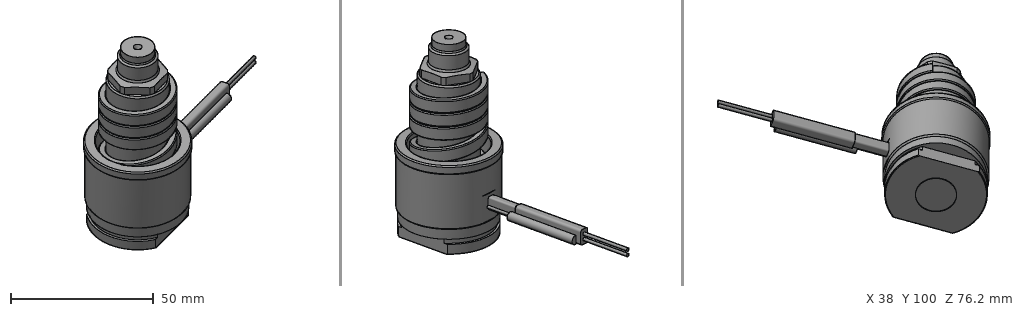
import cadquery as cq
import math

TOTAL_HEIGHT = 76.2

BOSS_RADIUS = 7.2
BOSS_HEIGHT = 0.3
BASE_RADIUS = 18.0
BASE_CHAMFER = 0.3
BASE_TOP = 4.3
NECK_RADIUS = 17.1
NECK_TOP = 6.3
BASE_FLAT_WIDTH = 28.1

CUP_RADIUS = 18.6
CUP_BOTTOM = 10.1
CUP_BOTTOM_CHAMFER = 0.6
CUP_TOP = 35.2
FLANGE_RADIUS = 19.0
FLANGE_BOTTOM = 32.2
FLANGE_CHAMFER = 0.5
CAVITY_RADIUS = 14.8
CAVITY_FLOOR = 10.6
MOUTH_CHAMFER = 0.4
CABLE_FLAT_DISTANCE = 18.3
CABLE_FLAT_TOP = 21.3

SHAFT_RADIUS = 11.1
SHAFT_TOP = 62.4
SHAFT_CHAMFER = 0.6
HEX_SIDES = 6
HEX_ACROSS_FLATS = 19.0
HEX_CORNER_RADIUS = 10.5
HEX_TOP = 65.5
HEX_CONE_RADIUS = 7.6
HEX_CONE_TOP = 66.05
STEM_RADIUS = 7.15
STEM_BOTTOM = 66.9
STEM_TOP = 72.4
STEP_RADIUS = 6.3
STEP_TOP = 72.9
TIP_RADIUS = 6.0
TIP_BOTTOM = 73.5
CENTRE_HOLE_RADIUS = 1.5
CENTRE_HOLE_DEPTH = 2.6

SPRING_RADIUS = 13.8
SPRING_OVERLAP = 0.2
SPRING_HEIGHT = 5.0
SPRING_CHAMFER = 0.4
CLOSE_PITCH = 5.3
OPEN_PITCH = 15.5
CLOSE_FULL_TURNS = 3
OPEN_TURNS = 2
JOINT_ANGLE = 142.0
JOINT_HEIGHT = 41.3
SPRING_END_ANGLE = 156.0

CABLE_START = 16.0
CABLE_X = -1.3
CABLE_Z = 17.3
CABLE_WIDTH = 3.1
CABLE_HEIGHT = 5.1
CABLE_ROUNDING = 0.65
SLEEVE_START = 30.9
SLEEVE_END = 61.0
SLEEVE_WIDTH = 3.8
SLEEVE_HEIGHT = 6.0
SLEEVE_ROUNDING = 0.95
WIRE_RADIUS = 0.65
WIRE_SPACING = 2.1
WIRE_END = 81.0

SIDE_WIRE_X = 0.2
SIDE_SLEEVE_X = 1.0
SIDE_SLEEVE_Z = 16.05
SIDE_SLEEVE_RADIUS = 1.73
SIDE_SLEEVE_START = 29.05
SIDE_SLEEVE_END = 58.9


def revolve_profile(points):
    """Turn an outline of (radius, height) points about the Z axis."""
    return cq.Workplane("XZ").polyline(points).close().revolve(360, (0, 0), (0, 1))


def make_base():
    """Base disc and neck with two wrench flats on +X and -X, standing on a low boss."""
    disc = revolve_profile([
        (0, BOSS_HEIGHT),
        (BASE_RADIUS - BASE_CHAMFER, BOSS_HEIGHT),
        (BASE_RADIUS, BOSS_HEIGHT + BASE_CHAMFER),
        (BASE_RADIUS, BASE_TOP),
        (NECK_RADIUS, BASE_TOP),
        (NECK_RADIUS, NECK_TOP),
        (0, NECK_TOP),
    ])
    flats = cq.Workplane("XY").box(BASE_FLAT_WIDTH, 2 * BASE_RADIUS, NECK_TOP, centered=(True, True, False))
    boss = cq.Workplane("XY").circle(BOSS_RADIUS).extrude(BOSS_HEIGHT)
    return disc.intersect(flats).union(boss)


def make_cup():
    """Flanged cup with a shallow flat on +Y where the cables leave."""
    cup = revolve_profile([
        (0, NECK_TOP),
        (BASE_RADIUS, NECK_TOP),
        (BASE_RADIUS, CUP_BOTTOM),
        (CUP_RADIUS, CUP_BOTTOM + CUP_BOTTOM_CHAMFER),
        (CUP_RADIUS, FLANGE_BOTTOM - FLANGE_CHAMFER),
        (FLANGE_RADIUS, FLANGE_BOTTOM),
        (FLANGE_RADIUS, CUP_TOP - FLANGE_CHAMFER),
        (FLANGE_RADIUS - FLANGE_CHAMFER, CUP_TOP),
        (CAVITY_RADIUS + MOUTH_CHAMFER, CUP_TOP),
        (CAVITY_RADIUS, CUP_TOP - MOUTH_CHAMFER),
        (CAVITY_RADIUS, CAVITY_FLOOR),
        (0, CAVITY_FLOOR),
    ])
    flat_bottom = CUP_BOTTOM + CUP_BOTTOM_CHAMFER
    flat_cut = (
        cq.Workplane("XY")
        .box(2 * CUP_RADIUS, CUP_RADIUS, CABLE_FLAT_TOP - flat_bottom, centered=(True, False, False))
        .translate((0, CABLE_FLAT_DISTANCE, flat_bottom))
    )
    return cup.cut(flat_cut)


def make_shaft():
    """Plain shaft rising from the cup floor through the spring."""
    return revolve_profile([
        (0, CAVITY_FLOOR),
        (SHAFT_RADIUS, CAVITY_FLOOR),
        (SHAFT_RADIUS, SHAFT_TOP - SHAFT_CHAMFER),
        (SHAFT_RADIUS - SHAFT_CHAMFER, SHAFT_TOP),
        (0, SHAFT_TOP),
    ])


def make_tip():
    """Hexagonal collar, stem and tip with a conical centre hole."""
    turned = revolve_profile([
        (0, SHAFT_TOP),
        (HEX_CORNER_RADIUS, SHAFT_TOP),
        (HEX_CORNER_RADIUS, HEX_TOP),
        (HEX_CONE_RADIUS, HEX_CONE_TOP),
        (STEM_RADIUS, STEM_BOTTOM),
        (STEM_RADIUS, STEM_TOP),
        (STEP_RADIUS, STEP_TOP),
        (TIP_RADIUS, TIP_BOTTOM),
        (TIP_RADIUS, TOTAL_HEIGHT),
        (CENTRE_HOLE_RADIUS, TOTAL_HEIGHT),
        (0, TOTAL_HEIGHT - CENTRE_HOLE_DEPTH),
    ])
    half_side_angle = 180 / HEX_SIDES
    corner_diameter = HEX_ACROSS_FLATS / math.cos(math.radians(half_side_angle))
    hexagon = (
        cq.Workplane("XY", origin=(0, 0, SHAFT_TOP))
        .polygon(HEX_SIDES, corner_diameter)
        .extrude(TOTAL_HEIGHT - SHAFT_TOP)
        .rotate((0, 0, 0), (0, 0, 1), half_side_angle)
    )
    return turned.intersect(hexagon)


def make_coils(pitch, turns, start_height):
    """Sweep the chamfered wire section up a helix that starts at the joint angle."""
    half_height = SPRING_HEIGHT / 2
    flat_half = half_height - SPRING_CHAMFER
    inner = SHAFT_RADIUS - SPRING_OVERLAP
    inner_half = flat_half - SPRING_OVERLAP
    groove = SHAFT_RADIUS + SPRING_CHAMFER
    helix = cq.Workplane(cq.Wire.makeHelix(pitch, pitch * turns, SPRING_RADIUS))
    coils = (
        cq.Workplane("XZ")
        .polyline([
            (inner, -inner_half),
            (groove, -half_height),
            (SPRING_RADIUS - SPRING_CHAMFER, -half_height),
            (SPRING_RADIUS, -flat_half),
            (SPRING_RADIUS, flat_half),
            (SPRING_RADIUS - SPRING_CHAMFER, half_height),
            (groove, half_height),
            (inner, inner_half),
        ])
        .close()
        .sweep(helix, isFrenet=True)
    )
    return coils.rotate((0, 0, 0), (0, 0, 1), JOINT_ANGLE).translate((0, 0, start_height))


def make_spring():
    """Close coils above the joint and open coils below it, meeting end to end."""
    close_turns = CLOSE_FULL_TURNS + (SPRING_END_ANGLE - JOINT_ANGLE) / 360
    close_coils = make_coils(CLOSE_PITCH, close_turns, JOINT_HEIGHT)
    open_coils = make_coils(OPEN_PITCH, OPEN_TURNS, JOINT_HEIGHT - OPEN_PITCH * OPEN_TURNS)
    return close_coils, open_coils


def rounded_bar(width, height, rounding, start, end):
    """Bar along +Y on the main cable axis with its long edges rounded."""
    return (
        cq.Workplane("XY")
        .box(width, end - start, height)
        .edges("|Y")
        .fillet(rounding)
        .translate((CABLE_X, (start + end) / 2, CABLE_Z))
    )


def round_rod(x, z, radius, start, end):
    """Cylinder along +Y."""
    return cq.Workplane("XZ", origin=(x, start, z)).circle(radius).extrude(start - end)


def make_cables():
    """Sleeved main cable with its two wires, and the sleeved side wire beside it."""
    cables = rounded_bar(CABLE_WIDTH, CABLE_HEIGHT, CABLE_ROUNDING, CABLE_START, SLEEVE_END)
    cables = cables.union(
        rounded_bar(SLEEVE_WIDTH, SLEEVE_HEIGHT, SLEEVE_ROUNDING, SLEEVE_START, SLEEVE_END)
    )
    for side in (-1, 1):
        wire_z = CABLE_Z + side * WIRE_SPACING / 2
        cables = cables.union(round_rod(CABLE_X, wire_z, WIRE_RADIUS, SLEEVE_START, WIRE_END))
    side_wire = round_rod(SIDE_WIRE_X, SIDE_SLEEVE_Z, WIRE_RADIUS, CABLE_START, SIDE_SLEEVE_END)
    side_sleeve = round_rod(
        SIDE_SLEEVE_X, SIDE_SLEEVE_Z, SIDE_SLEEVE_RADIUS, SIDE_SLEEVE_START, SIDE_SLEEVE_END
    )
    return cables.union(side_wire).union(side_sleeve)


body = make_base().union(make_cup()).union(make_shaft()).union(make_tip())
for coils in make_spring():
    body = body.union(coils)
result = body.union(make_cables())